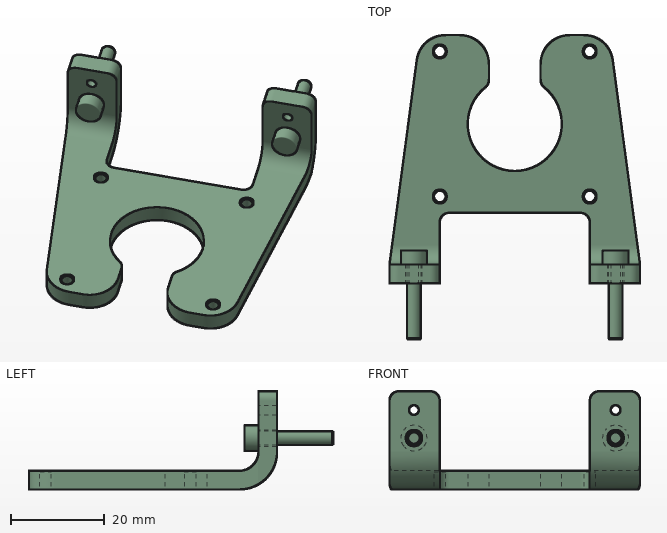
import cadquery as cq
import math


thickness = 4.0
overall_width = 53.5
overall_height = 21.0
overall_length = 65
plate_end = 53.0
bend_inner_radius = thickness
bend_outer_radius = bend_inner_radius + thickness

tip_width = 40.4
arm_corner_radius = 6.2
tab_gap = 32.0
notch_depth = 15.0
notch_corner_radius = 2.0

bore_diameter = 20.0
bore_y = 34.0
slot_width = 11.0
slot_lip_radius = 2.0

plate_hole_diameter = 2.5
plate_hole_mouth_diameter = 3.0
plate_hole_mouth_angle = 90
plate_hole_spacing_x = tab_gap
plate_hole_near_y = 18.5
plate_hole_far_y = 49.45

tab_corner_radius = 2.0
tab_hole_x = 21.5
screw_z = 11.0
clearance_hole_diameter = 3.5
dowel_hole_diameter = 2.0
dowel_hole_z = 16.95

shank_diameter = 3.0
shank_protrusion = overall_length - plate_end
tip_diameter = 2.5
tip_length = 0.4
head_diameter = 5.5
head_height = 3.0
head_edge_radius = 0.2


def bent_sheet():
    """Plate with a full-width upturned flange, swept along X."""
    inner_bend_end = thickness + bend_inner_radius
    profile = (
        cq.Workplane("YZ")
        .moveTo(plate_end, 0)
        .lineTo(bend_outer_radius, 0)
        .radiusArc((0, bend_outer_radius), bend_outer_radius)
        .lineTo(0, overall_height)
        .lineTo(thickness, overall_height)
        .lineTo(thickness, inner_bend_end)
        .radiusArc((inner_bend_end, thickness), -bend_inner_radius)
        .lineTo(plate_end, thickness)
        .close()
    )
    return profile.extrude(overall_width / 2, both=True)


def tapered_outline():
    """Upright prism of the plan outline: straight at the tabs, tapered to the arm tips."""
    half_width = overall_width / 2
    half_tip = tip_width / 2
    return (
        cq.Workplane("XY")
        .polyline([
            (-half_width, 0),
            (half_width, 0),
            (half_width, thickness),
            (half_tip, plate_end),
            (-half_tip, plate_end),
            (-half_width, thickness),
        ])
        .close()
        .extrude(overall_height)
        .edges("|Z and >Y")
        .fillet(arm_corner_radius)
    )


def tab_notch():
    """Rounded rectangular cutter separating the two tabs; half of its depth lies at Y < 0."""
    return (
        cq.Workplane("XY")
        .rect(tab_gap, 2 * notch_depth)
        .extrude(overall_height)
        .edges("|Z")
        .fillet(notch_corner_radius)
    )


def keyhole_opening(bracket):
    """Cut the bore and its open slot, then round the slot mouth and the lips."""
    bore = cq.Workplane("XY").center(0, bore_y).circle(bore_diameter / 2).extrude(thickness)
    slot_length = plate_end - bore_y
    slot = (
        cq.Workplane("XY")
        .center(0, bore_y + slot_length / 2)
        .rect(slot_width, slot_length)
        .extrude(thickness)
    )
    lip_y = bore_y + math.sqrt((bore_diameter / 2) ** 2 - (slot_width / 2) ** 2)
    half_height = thickness / 2

    def slot_edges(body, y):
        points = [(side * slot_width / 2, y, half_height) for side in (-1, 1)]
        edges = [body.edges(cq.selectors.NearestToPointSelector(point)).val() for point in points]
        return body.newObject(edges)

    opened = bracket.cut(bore).cut(slot)
    rounded_mouth = slot_edges(opened, plate_end).fillet(arm_corner_radius)
    return slot_edges(rounded_mouth, lip_y).fillet(slot_lip_radius)


def plate_holes(bracket):
    """Four through holes, lightly countersunk on the upper face."""
    half_spacing = plate_hole_spacing_x / 2
    centres = [
        (side * half_spacing, y)
        for side in (-1, 1)
        for y in (plate_hole_near_y, plate_hole_far_y)
    ]
    return (
        bracket.copyWorkplane(cq.Workplane("XY", origin=(0, 0, thickness)))
        .pushPoints(centres)
        .cskHole(plate_hole_diameter, plate_hole_mouth_diameter, plate_hole_mouth_angle)
    )


def tab_hole_cutters(diameter, z):
    """One cylinder through each tab at the given height."""
    return (
        cq.Workplane("XZ")
        .pushPoints([(-tab_hole_x, z), (tab_hole_x, z)])
        .circle(diameter / 2)
        .extrude(-thickness)
    )


def make_bracket():
    body = bent_sheet().intersect(tapered_outline()).cut(tab_notch())
    body = body.edges("|Y and >Z").fillet(tab_corner_radius)
    body = keyhole_opening(body)
    body = plate_holes(body)
    body = body.cut(tab_hole_cutters(clearance_hole_diameter, screw_z))
    return body.cut(tab_hole_cutters(dowel_hole_diameter, dowel_hole_z))


def make_screw(x):
    """Cap screw pointing to -Y, its head seated on the inner tab face."""
    head = (
        cq.Workplane("XZ", origin=(x, thickness, screw_z))
        .circle(head_diameter / 2)
        .extrude(-head_height)
        .faces(">Y")
        .edges()
        .fillet(head_edge_radius)
    )
    tip_inset = (shank_diameter - tip_diameter) / 2
    shank = (
        cq.Workplane("XZ", origin=(x, thickness, screw_z))
        .circle(shank_diameter / 2)
        .extrude(thickness + shank_protrusion)
        .faces("<Y")
        .chamfer(tip_length, tip_inset)
    )
    return head.union(shank)


bracket = make_bracket()
screws = [make_screw(side * tab_hole_x) for side in (-1, 1)]

result = cq.Compound.makeCompound([bracket.val(), *[screw.val() for screw in screws]])